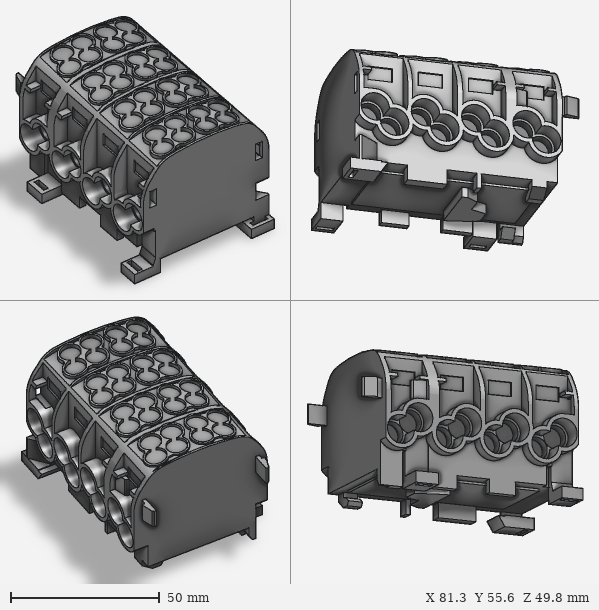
import cadquery as cq
import math

body_length = 71.25
half_width = 26.0
front_wall_y = -21.55
back_wall_y = 20.6
front_inner_y = -18.9
overlap = 0.8
base_z = 5.85
crown_z = 49.1
crown_radius = 67.5

module_x = [5.5, 23.6, 41.2, 58.9]
bore_step = 6.8
window_spans = [(1.95, 15.95), (19.85, 35.0), (36.85, 52.6), (54.25, 69.6)]
panel_spans = [(0.8, 16.9), (18.8, 35.1), (36.4, 52.95), (53.8, 70.35)]

port_low_z = 18.8
port_high_z = 23.5
collar_radius = 6.5
collar_top_z = port_high_z + collar_radius
port_radius = 5.0
port_depth = 7.3
deep_port_radius = 4.1
deep_port_depth = 11.4
rib_bottom_z = 20.3

window_floor_y = 20.5
window_top_z = 44.65
label_x_start = -0.8
label_length = 8.45
label_z = 35.5
label_height = 4.9
label_depth = 0.7
stub_z = 37.0
stub_height = 1.3
stub_length = 2.85
stub_spans = [
    (window_spans[0][0], window_spans[0][0] + stub_length),
    (window_spans[0][1] - stub_length, window_spans[0][1]),
    (window_spans[1][0], window_spans[1][0] + stub_length),
    (window_spans[3][1] - stub_length, window_spans[3][1]),
]

screw_radius = 3.7
rim_radius = 4.4
rim_web_width = 6.2
rim_core_radius = 1.6
screw_pitch_y = 8.05
screw_step_y = -1.95
cluster_y = [10.1, -8.0]
rim_top_z = 49.8
panel_half_width = 21.15
rim_root_z = 44.7
panel_tilt = 0.65
screw_floor_drop = 0.25

tab_z = 29.7
tab_height = 6.75
tab_reach = 7.0
inner_tab_x = 18.05
inner_tab_height = 7.3
channel_y = 22.9
tab_opening_height = 6.9
tab_opening_y = 23.3

foot_height = 4.0
foot_reach_y = -29.6
foot_slot_y = -27.7
foot_slot_width = 1.9
side_foot_x = 74.3
side_foot_inner_y = 16.5
side_foot_slot_x = (body_length, body_length + 1.6)
side_foot_slot_y = (18.2, 24.4)
pillar_slant_end = 70.4
catch_reach = 2.3
catch_top_z = 3.7
foot_spans = [(9.4, 17.8), (63.4, body_length)]
foot_slots = [(10.9, 16.35), (64.3, 70.35)]
foot_arm_y = -20.9
slope_top_z = 7.2
slope_bottom_z = 4.4
slope_foot_y = -21.95
foot_gap_spans = [(8.3, 9.4), (61.4, 63.4)]
foot_gap_top_z = 12.6

front_leg_end = 8.3
front_hook_start = 3.75
front_skirt_spans = [(17.9, 28.4), (40.25, 49.9)]
skirt_bottom_z = 1.1
back_hook_span = (3.75, 8.95)
back_block_spans = [(26.75, 28.4), (38.8, 52.7)]
back_block_y = (16.3, back_wall_y)
back_block_z = 0.6
plate_x = (4.1, 61.4)
plate_y = (-15.6, 13.3)
plate_bottom_z = 5.05
peg_start = 18.3
peg_end = 30.25
peg_step = 5.7
peg_corner = 2.2
peg_bottom_z = 1.5


def box(x, y, z):
    """Box given by its (low, high) limits along each axis."""
    return (
        cq.Workplane("XY")
        .box(x[1] - x[0], y[1] - y[0], z[1] - z[0], centered=False)
        .translate((x[0], y[0], z[0]))
    )


def along_x(points, start, end):
    """Prism of a (y, z) outline between two X positions."""
    return cq.Workplane("YZ").polyline(points).close().extrude(end - start).translate((start, 0, 0))


def both_sides(solid):
    """The solid together with its mirror image across the XZ plane."""
    return solid.union(solid.mirror("XZ"))


def crown_cylinder(top_z):
    """Long horizontal cylinder whose uppermost line is at the given height."""
    overrun = 4.1
    return (
        cq.Workplane("YZ", origin=(-overrun, 0, top_z - crown_radius))
        .circle(crown_radius)
        .extrude(body_length + 2 * overrun)
    )


def tilted_crown(top_z):
    """Crown cylinder sinking slightly toward +X."""
    return crown_cylinder(top_z).rotate((0, 0, top_z), (0, 1, top_z), panel_tilt)


def envelope():
    """Full-width housing shape: upright sides, curved flanks and a flat arch."""
    flank_start_z = 32.0
    flank_radius = 15.7
    flank_rise = 4.6
    flank_mid_z = flank_start_z + flank_rise
    flank_mid_y = half_width - flank_radius + math.sqrt(flank_radius**2 - flank_rise**2)
    flank_mid = (flank_mid_y, flank_mid_z)
    flank_end = (23.5, 40.5)
    bevel_end = (21.1, 43.8)
    shoulder_mid = (18.3, 46.5)
    shoulder_top = (14.6, 47.9)
    arch_end = (11.6, 48.4)
    return (
        cq.Workplane("YZ")
        .moveTo(-half_width, 0)
        .lineTo(-half_width, flank_start_z)
        .threePointArc((-flank_mid[0], flank_mid[1]), (-flank_end[0], flank_end[1]))
        .lineTo(-bevel_end[0], bevel_end[1])
        .threePointArc((-shoulder_mid[0], shoulder_mid[1]), (-shoulder_top[0], shoulder_top[1]))
        .lineTo(-arch_end[0], arch_end[1])
        .threePointArc((0, crown_z), arch_end)
        .lineTo(*shoulder_top)
        .threePointArc(shoulder_mid, bevel_end)
        .lineTo(*flank_end)
        .threePointArc(flank_mid, (half_width, flank_start_z))
        .lineTo(half_width, 0)
        .close()
        .extrude(body_length)
    )


def port_cylinders(radius, x, depth):
    """Pair of horizontal cylinders reaching inward from the -Y side."""
    plane = cq.Workplane("XZ", origin=(0, -half_width, 0))
    low = plane.center(x, port_low_z).circle(radius).extrude(-depth)
    high = plane.center(x + bore_step, port_high_z).circle(radius).extrude(-depth)
    return low.union(high)


def housing():
    """Core, ribbed sides with windows, and the port collars."""
    shell = envelope()
    core = shell.intersect(
        box((0, body_length), (front_wall_y, back_wall_y), (base_z, rim_top_z))
    )
    body = core.union(
        shell.intersect(
            box((0, body_length), (-half_width, half_width), (rib_bottom_z, rim_top_z))
        )
    )
    for span in window_spans:
        window = box(span, (-half_width, -window_floor_y), (rib_bottom_z, window_top_z))
        body = body.cut(both_sides(window))
    collar_depth = half_width - window_floor_y + overlap
    for x in module_x:
        collar = port_cylinders(collar_radius, x, collar_depth).intersect(shell)
        body = body.union(both_sides(collar))
    for span in stub_spans:
        stub = box(span, (-half_width, -window_floor_y + overlap), (stub_z, stub_z + stub_height))
        body = body.union(both_sides(stub.intersect(shell)))
    for module in (0, 3):
        high_bore_x = module_x[module] + bore_step
        window_end = window_spans[module][1]
        pad_y = (-half_width, -window_floor_y + overlap)
        pad = box((high_bore_x, window_end), pad_y, (port_high_z, collar_top_z))
        body = body.union(both_sides(pad))
    channel = box(
        (module_x[3] + bore_step - collar_radius, window_spans[3][1]),
        (-channel_y, -window_floor_y),
        (tab_z, collar_top_z),
    )
    body = body.cut(both_sides(channel))
    for x in module_x:
        ports = port_cylinders(port_radius, x, port_depth)
        ports = ports.union(port_cylinders(deep_port_radius, x, deep_port_depth))
        label_x = x + label_x_start
        label = box(
            (label_x, label_x + label_length),
            (-window_floor_y, -window_floor_y + label_depth),
            (label_z, label_z + label_height),
        )
        body = body.cut(both_sides(ports)).cut(both_sides(label))
    tab_opening = box(
        (window_spans[3][1], body_length),
        (-tab_opening_y, -window_floor_y),
        (tab_z, tab_z + tab_opening_height),
    )
    return body.cut(both_sides(tab_opening))


def screw_point(x, middle_y, column, row):
    """Centre of one screw opening; column is 0 or 1, row is -1 or 1."""
    return (x + column * bore_step, middle_y + column * screw_step_y + row * screw_pitch_y / 2)


def web(start, end):
    """Upright bar joining two rims."""
    run_x = end[0] - start[0]
    run_y = end[1] - start[1]
    return (
        cq.Workplane("XY")
        .rect(math.hypot(run_x, run_y), rim_web_width)
        .extrude(rim_top_z - rim_root_z)
        .rotate((0, 0, 0), (0, 0, 1), math.degrees(math.atan2(run_y, run_x)))
        .translate(((start[0] + end[0]) / 2, (start[1] + end[1]) / 2, rim_root_z))
    )


def round_posts(points, radius):
    """Upright cylinders reaching from inside the housing to the rim height."""
    height = rim_top_z - rim_root_z
    posts = cq.Workplane("XY")
    for x, y in points:
        post = cq.Workplane("XY").circle(radius).extrude(height).translate((x, y, rim_root_z))
        posts = posts.add(post)
    return posts.combine()


def add_top(body):
    """Sunken tilted panels carrying raised rims around the screw openings."""
    rim_crown = crown_cylinder(rim_top_z)
    panel_ground = tilted_crown(crown_z)
    screw_ground = tilted_crown(crown_z - screw_floor_drop)
    for span in panel_spans:
        panel = box(span, (-panel_half_width, panel_half_width), (rim_root_z, rim_top_z))
        body = body.cut(panel.cut(panel_ground))
    rims = cq.Workplane("XY")
    openings = cq.Workplane("XY")
    for x in module_x:
        for middle_y in cluster_y:
            corners = [
                screw_point(x, middle_y, column, row)
                for column, row in ((0, 1), (0, -1), (1, -1), (1, 1))
            ]
            centre = (x + bore_step / 2, middle_y + screw_step_y / 2)
            rim = round_posts(corners, rim_radius).add(round_posts([centre], rim_core_radius))
            for start, end in zip(corners, corners[1:] + corners[:1]):
                rim = rim.add(web(start, end))
            rims = rims.add(rim.combine().intersect(rim_crown))
            openings = openings.add(round_posts(corners, screw_radius).cut(screw_ground))
    return body.union(rims.combine()).cut(openings.combine())


def snap_tab(x, height):
    """Barbed tab near the -Y side, pointing toward -X from a wall at x."""
    outline = [
        (overlap, -22.85),
        (-1.6, -22.85),
        (-2.2, -24.0),
        (-6.4, -22.8),
        (-tab_reach, -22.1),
        (-tab_reach, -21.4),
        (overlap, -21.4),
    ]
    return (
        cq.Workplane("XY", origin=(x, 0, tab_z))
        .polyline(outline)
        .close()
        .extrude(height)
    )


def front_leg():
    """Leg at the -X end, with a hook pointing inward behind its end face."""
    leg_foot_width = 1.3
    hook_foot_width = 3.3
    wall = [
        (front_wall_y, base_z + overlap),
        (front_wall_y, 0),
        (front_wall_y + leg_foot_width, 0),
        (front_inner_y, 2.0),
        (front_inner_y, base_z + overlap),
    ]
    hook = [
        (front_wall_y, 0),
        (front_wall_y + hook_foot_width, 0),
        (-16.0, 3.6),
        (front_wall_y, 3.6),
    ]
    return along_x(wall, 0, front_leg_end).union(along_x(hook, front_hook_start, front_leg_end))


def back_hook():
    """Rounded hook below the back wall, pointing inward."""
    outline = [
        (back_wall_y, base_z + overlap),
        (back_wall_y, 3.5),
        (16.5, 0.6),
        (13.25, 0.6),
        (12.4, 2.1),
        (14.5, 3.7),
        (16.3, 4.0),
        (16.3, base_z + overlap),
    ]
    return along_x(outline, *back_hook_span)


def rail_peg():
    """Stepped peg with slanted faces below the middle of the base."""
    outline = [
        (peg_end, 9.4),
        (peg_end, -11.7),
        (peg_end - peg_corner, -11.7),
        (peg_start, -9.1),
        (peg_start, -2.35),
        (peg_start + peg_step, 0),
        (peg_start + peg_step, 6.6),
        (peg_end - peg_corner, 9.4),
    ]
    return (
        cq.Workplane("XY", origin=(0, 0, peg_bottom_z))
        .polyline(outline)
        .close()
        .extrude(base_z + overlap - peg_bottom_z)
    )


def front_foot(span, slot):
    """Lever foot reaching out toward -Y, with a slot for a screwdriver."""
    arm = box(span, (foot_arm_y, front_inner_y), (0, base_z + overlap))
    foot = box(span, (foot_reach_y, front_inner_y), (0, foot_height))
    opening = box(slot, (foot_slot_y, foot_slot_y + foot_slot_width), (0, foot_height))
    return arm.union(foot).cut(opening)


def back_foot():
    """Lever foot reaching out toward +X, with its pillar, slot and catch."""
    start = foot_spans[1][0]
    pillar = (
        cq.Workplane("XY")
        .polyline(
            [
                (start, back_wall_y - overlap),
                (start, back_wall_y),
                (pillar_slant_end, half_width),
                (body_length, half_width),
                (body_length, back_wall_y - overlap),
            ]
        )
        .close()
        .extrude(foot_gap_top_z)
    )
    foot = box((start, side_foot_x), (side_foot_inner_y, half_width), (0, foot_height))
    catch = (
        cq.Workplane("XZ", origin=(0, half_width, 0))
        .polyline([(start, 0), (start - catch_reach, catch_top_z), (start, catch_top_z)])
        .close()
        .extrude(half_width - side_foot_inner_y)
    )
    opening = box(side_foot_slot_x, side_foot_slot_y, (0, foot_height))
    return pillar.union(foot).union(catch).cut(opening)


def add_base(body):
    """Lower walls, rail hooks and feet."""
    for span in foot_gap_spans:
        body = body.cut(box(span, (-half_width, front_inner_y), (base_z, foot_gap_top_z)))
    for span in foot_spans:
        arm_relief = box(span, (front_wall_y, foot_arm_y), (base_z, port_low_z))
        for x in module_x:
            arm_relief = arm_relief.cut(port_cylinders(collar_radius, x, half_width))
        body = body.cut(arm_relief)
    for span in front_skirt_spans:
        body = body.union(box(span, (front_wall_y, front_inner_y), (skirt_bottom_z, base_z + overlap)))
    for span in back_block_spans:
        body = body.union(box(span, back_block_y, (back_block_z, base_z + overlap)))
    for span, slot in zip(foot_spans, foot_slots):
        body = body.union(front_foot(span, slot))
    slope = [
        (front_inner_y, slope_top_z),
        (foot_arm_y, slope_top_z),
        (slope_foot_y, slope_bottom_z),
        (slope_foot_y, 0),
        (front_inner_y, 0),
    ]
    plate = box(plate_x, plate_y, (plate_bottom_z, base_z + overlap))
    body = body.union(along_x(slope, *foot_spans[1])).union(plate)
    return body.union(front_leg()).union(back_hook()).union(rail_peg()).union(back_foot())


body = add_base(housing())
for wall_x, height in ((0, tab_height), (inner_tab_x, inner_tab_height)):
    body = body.union(both_sides(snap_tab(wall_x, height)))
result = add_top(body)